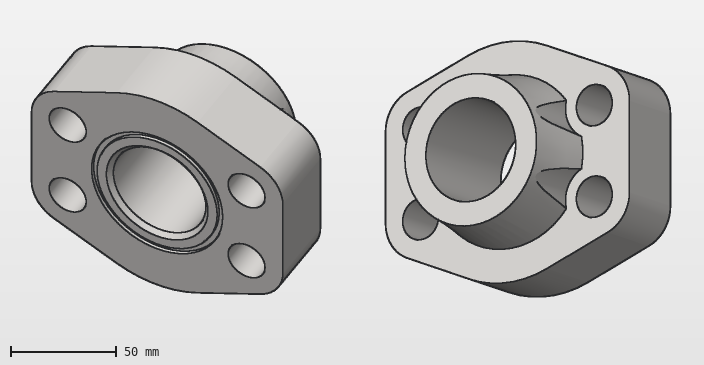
import cadquery as cq
import math

length = 136.0
height = 116.7
flange_thickness = 37.0
bolt_x = 48.4
bolt_z = 22.2
bolt_hole_diameter = 20.0
disc_radius = height / 2
corner_radius = length / 2 - bolt_x

total_depth = 70.0
hub_base_radius = 42.0
hub_end_radius = 36.7
hub_flank_sag = 0.4
bolt_clearance_radius = 16.0

bore_diameter = 50.0
bore_chamfer = 2.5
groove_outer_diameter = 71.0
groove_inner_diameter = 65.0
groove_depth = 2.0


def point_on_circle(center_x, center_z, radius, angle):
    return (center_x + radius * math.cos(angle), center_z + radius * math.sin(angle))


def cylinder(x, z, diameter, start_y, depth):
    """Solid cylinder along +Y, starting at start_y."""
    base = cq.Workplane("XZ", origin=(x, start_y, z))
    return base.circle(diameter / 2).extrude(-depth)


def make_flange():
    bolt_distance = math.hypot(bolt_x, bolt_z)
    tangent_angle = math.atan2(bolt_z, bolt_x) + math.acos((disc_radius - corner_radius) / bolt_distance)
    corner_end = point_on_circle(bolt_x, bolt_z, corner_radius, tangent_angle)
    corner_middle = point_on_circle(bolt_x, bolt_z, corner_radius, tangent_angle / 2)
    disc_start = point_on_circle(0, 0, disc_radius, tangent_angle)

    def mirrored(point, x_sign, z_sign):
        return (x_sign * point[0], z_sign * point[1])

    outline = cq.Workplane("XZ").moveTo(length / 2, -bolt_z)
    for side in (1, -1):
        outline = (
            outline.lineTo(side * length / 2, side * bolt_z)
            .threePointArc(mirrored(corner_middle, side, side), mirrored(corner_end, side, side))
            .lineTo(*mirrored(disc_start, side, side))
            .threePointArc((0, side * disc_radius), mirrored(disc_start, -side, side))
            .lineTo(*mirrored(corner_end, -side, side))
            .threePointArc(mirrored(corner_middle, -side, side), (-side * length / 2, side * bolt_z))
        )
    return outline.close().extrude(-flange_thickness)


def make_hub():
    """Tapered hub with a slightly concave flank, relieved around each bolt."""
    flank_middle = (
        (hub_base_radius + hub_end_radius) / 2 - hub_flank_sag,
        (flange_thickness + total_depth) / 2,
    )
    hub = (
        cq.Workplane("XY")
        .moveTo(0, flange_thickness)
        .lineTo(hub_base_radius, flange_thickness)
        .threePointArc(flank_middle, (hub_end_radius, total_depth))
        .lineTo(0, total_depth)
        .close()
        .revolve(360, (0, 0, 0), (0, 1, 0))
    )
    hub_length = total_depth - flange_thickness
    for x, z in bolt_positions:
        hub = hub.cut(cylinder(x, z, 2 * bolt_clearance_radius, flange_thickness, hub_length))
    return hub


def make_bore():
    """Through bore with a chamfered mouth on the flange face."""
    bore_radius = bore_diameter / 2
    return (
        cq.Workplane("XY")
        .polyline([
            (0, 0),
            (bore_radius + bore_chamfer, 0),
            (bore_radius, bore_chamfer),
            (bore_radius, total_depth),
            (0, total_depth),
        ])
        .close()
        .revolve(360, (0, 0, 0), (0, 1, 0))
    )


def make_seal_groove():
    ring = cylinder(0, 0, groove_outer_diameter, 0, groove_depth)
    return ring.cut(cylinder(0, 0, groove_inner_diameter, 0, groove_depth))


bolt_positions = [(x, z) for x in (-bolt_x, bolt_x) for z in (-bolt_z, bolt_z)]

result = make_flange().union(make_hub())
result = result.cut(make_bore()).cut(make_seal_groove())
for x, z in bolt_positions:
    result = result.cut(cylinder(x, z, bolt_hole_diameter, 0, flange_thickness))